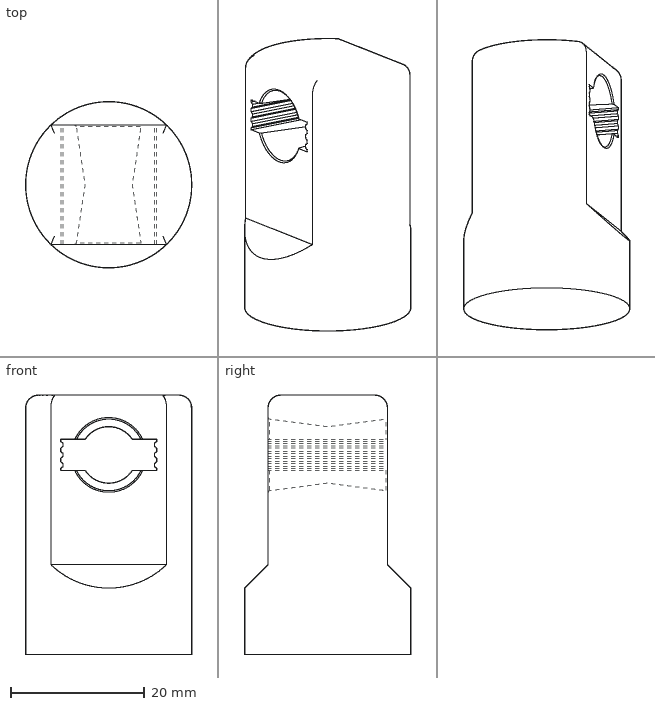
import cadquery as cq

height = 39.0
body_diameter = 25.0
flat_thickness = 17.98
shoulder_base = 10.0
top_fillet = 2.0

bore_height = 30.0
rim_diameter = 11.25
rim_chamfer = 0.25
waist_diameter = 8.45

slot_width = 14.4
slot_height = 4.65
tooth_pitch = 1.52
tooth_depth = 0.35
tooth_base = 1.0
tooth_tip = 0.43
teeth_per_end = 3

body_radius = body_diameter / 2
half_thickness = flat_thickness / 2


def make_body():
    """Cylinder with two opposite flats, 45 degree shoulders and a rounded top."""
    shoulder_top = shoulder_base + body_radius - half_thickness
    side_profile = (
        cq.Workplane("YZ")
        .moveTo(-body_radius, 0)
        .lineTo(body_radius, 0)
        .lineTo(body_radius, shoulder_base)
        .lineTo(half_thickness, shoulder_top)
        .lineTo(half_thickness, height)
        .lineTo(-half_thickness, height)
        .lineTo(-half_thickness, shoulder_top)
        .lineTo(-body_radius, shoulder_base)
        .close()
        .extrude(body_radius, both=True)
    )
    cylinder = cq.Workplane("XY").circle(body_radius).extrude(height)
    return cylinder.intersect(side_profile).faces(">Z").edges().fillet(top_fillet)


def make_bore():
    """Two cones meeting at a waist, with a chamfered rim at each flat."""
    rim_radius = rim_diameter / 2
    cone_radius = rim_radius - rim_chamfer
    cone_end = half_thickness - rim_chamfer
    return (
        cq.Workplane("XY")
        .moveTo(0, -half_thickness)
        .lineTo(rim_radius, -half_thickness)
        .lineTo(cone_radius, -cone_end)
        .lineTo(waist_diameter / 2, 0)
        .lineTo(cone_radius, cone_end)
        .lineTo(rim_radius, half_thickness)
        .lineTo(0, half_thickness)
        .close()
        .revolve(360, (0, 0), (0, 1))
        .translate((0, 0, bore_height))
    )


def make_tooth(side, center_height):
    """Ridge along Y on one slot end; side is +1 or -1 along X."""
    root = side * slot_width / 2
    tip = root - side * tooth_depth
    return (
        cq.Workplane("XZ")
        .moveTo(root, center_height - tooth_base / 2)
        .lineTo(tip, center_height - tooth_tip / 2)
        .lineTo(tip, center_height + tooth_tip / 2)
        .lineTo(root, center_height + tooth_base / 2)
        .close()
        .extrude(half_thickness, both=True)
    )


def make_slot():
    """Rectangular through slot with teeth standing in from both ends."""
    slot = cq.Workplane("XY").box(slot_width, flat_thickness, slot_height)
    slot = slot.translate((0, 0, bore_height))
    for side in (-1, 1):
        for index in range(teeth_per_end):
            offset = (index - (teeth_per_end - 1) / 2) * tooth_pitch
            slot = slot.cut(make_tooth(side, bore_height + offset))
    return slot


result = make_body().cut(make_bore()).cut(make_slot())